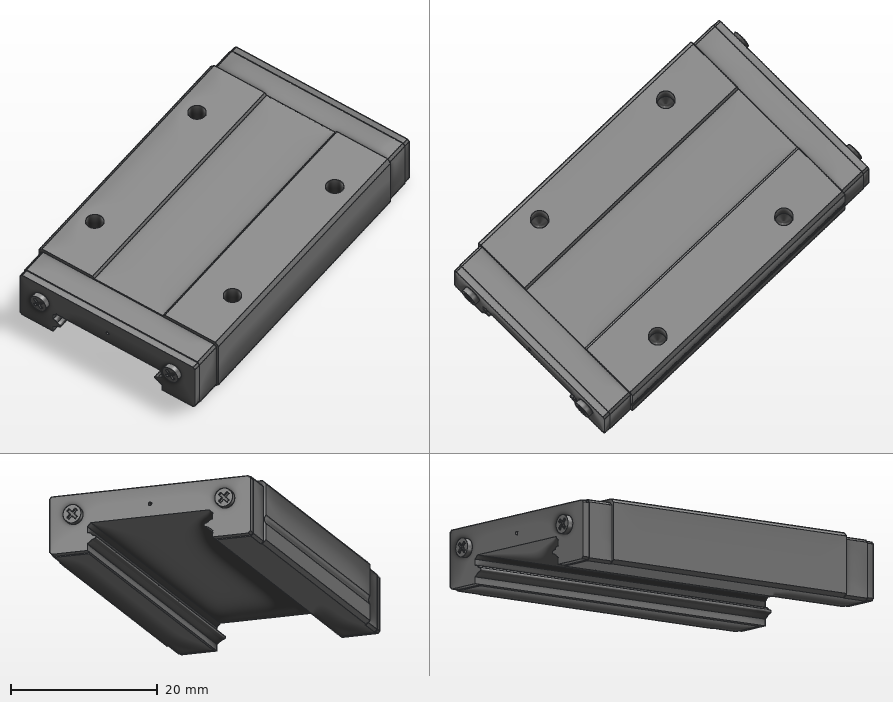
import cadquery as cq

body_width = 30.0
body_length = 40.45
body_height = 9.0
body_chamfer = 0.5

cap_width = 29.3
cap_length = 3.9
cap_height = 8.5
cap_chamfer = 0.35

plate_width = 29.15
plate_thickness = 1.05
plate_bottom = 0.15
plate_top = 8.3
plate_chamfer = 0.3

relief_width = 11.45
relief_depth = 0.3

channel_half_width = 9.1
channel_height = 4.05
channel_chamfer = 0.5
mouth_chamfer = 0.15
lip_half_gap = 7.85
lip_tip_rounding = 0.15
lip_tip_z = 2.0
lip_tip_half_height = 0.2
lip_knee = 8.4
lip_root_bottom = 1.1
lip_knee_bottom = 1.6
lip_knee_top = 2.35
lip_root_top = 2.7
lip_shoulder_bulge = 0.1

groove_bottom = 2.85
groove_top = 4.05
groove_depth = 0.2

hole_diameter = 2.5
hole_depth = 3.0
hole_pitch_x = 23.0
hole_pitch_y = 24.0
drill_tip_height = 0.75

screw_diameter = 2.6
screw_pitch = 22.05
screw_center_z = 5.35
overall_length = 52.0
recess_length = 1.7
recess_width = 0.4
recess_depth = 0.3

lube_diameter = 0.45
lube_center_z = 5.8

cap_end = body_length / 2 + cap_length
plate_end = cap_end + plate_thickness
screw_height = overall_length / 2 - plate_end


def chamfered_bar(width, bottom, top, chamfer, length):
    """Bar along Y, centred on the origin, with its four long edges chamfered."""
    bar = cq.Workplane("XY").box(width, length, top - bottom, centered=(True, True, False))
    return bar.edges("|Y").chamfer(chamfer).translate((0, 0, bottom))


def end_plane(side):
    """Sketch plane on the seal plate face at the -Y (-1) or +Y (+1) end, facing outward."""
    return cq.Plane(origin=(0, side * plate_end, 0), xDir=(-side, 0, 0), normal=(0, side, 0))


def rail_channel():
    """Cutter for the channel: one half outline from the mouth up to the roof, then mirrored."""
    tip_start = lip_half_gap + lip_tip_rounding
    half = (
        cq.Workplane("XZ")
        .lineTo(channel_half_width + mouth_chamfer, 0)
        .lineTo(channel_half_width, mouth_chamfer)
        .lineTo(channel_half_width, lip_root_bottom)
        .lineTo(lip_knee, lip_knee_bottom)
        .lineTo(tip_start, lip_tip_z - lip_tip_half_height)
        .threePointArc((lip_half_gap, lip_tip_z), (tip_start, lip_tip_z + lip_tip_half_height))
        .lineTo(lip_knee, lip_knee_top)
        .sagittaArc((channel_half_width, lip_root_top), lip_shoulder_bulge)
        .lineTo(channel_half_width, channel_height - channel_chamfer)
        .lineTo(channel_half_width - channel_chamfer, channel_height)
        .lineTo(0, channel_height)
        .close()
        .extrude(plate_end, both=True)
    )
    return half.union(half.mirror("YZ"))


def pad_relief():
    floor_half = relief_width / 2
    top_half = floor_half + relief_depth
    floor_z = body_height - relief_depth
    outline = cq.Workplane("XZ").polyline(
        [(-floor_half, floor_z), (floor_half, floor_z), (top_half, body_height), (-top_half, body_height)]
    )
    return outline.close().extrude(body_length / 2, both=True)


def reference_groove():
    side_x = -body_width / 2
    middle_z = (groove_bottom + groove_top) / 2
    outline = cq.Workplane("XZ").moveTo(side_x, groove_bottom)
    outline = outline.threePointArc((side_x + groove_depth, middle_z), (side_x, groove_top))
    return outline.close().extrude(body_length / 2, both=True)


def mounting_holes():
    radius = hole_diameter / 2
    drill = (
        cq.Workplane("XZ")
        .polyline([(0, 0), (radius, 0), (radius, -hole_depth), (0, -hole_depth - drill_tip_height)])
        .close()
        .revolve(360, (0, 0, 0), (0, 1, 0))
        .val()
    )
    centers = cq.Workplane("XY", origin=(0, 0, body_height)).rarray(hole_pitch_x, hole_pitch_y, 2, 2)
    return centers.eachpoint(drill)


def screws(side):
    centers = [(x, screw_center_z) for x in (-screw_pitch / 2, screw_pitch / 2)]
    heads = cq.Workplane(end_plane(side)).pushPoints(centers).circle(screw_diameter / 2).extrude(screw_height)
    for angle in (45, -45):
        for x, z in centers:
            arm_frame = cq.Workplane(end_plane(side)).center(x, z).workplane(offset=screw_height)
            arm = arm_frame.transformed(rotate=(0, 0, angle)).rect(recess_length, recess_width)
            heads = heads.cut(arm.extrude(-recess_depth))
    return heads


def lube_hole(side):
    return (
        cq.Workplane(end_plane(side))
        .center(0, lube_center_z)
        .circle(lube_diameter / 2)
        .extrude(-plate_thickness)
    )


block = (
    chamfered_bar(body_width, 0, body_height, body_chamfer, body_length)
    .cut(pad_relief())
    .cut(reference_groove())
    .cut(mounting_holes())
)
caps = chamfered_bar(cap_width, 0, cap_height, cap_chamfer, 2 * cap_end)
plates = chamfered_bar(plate_width, plate_bottom, plate_top, plate_chamfer, 2 * plate_end)

core = cq.Workplane("XY").box(body_width, body_length, body_height, centered=(True, True, False))
ends = caps.union(plates).cut(core)
result = block.union(ends).cut(rail_channel())

for end_side in (-1, 1):
    result = result.cut(lube_hole(end_side)).union(screws(end_side))